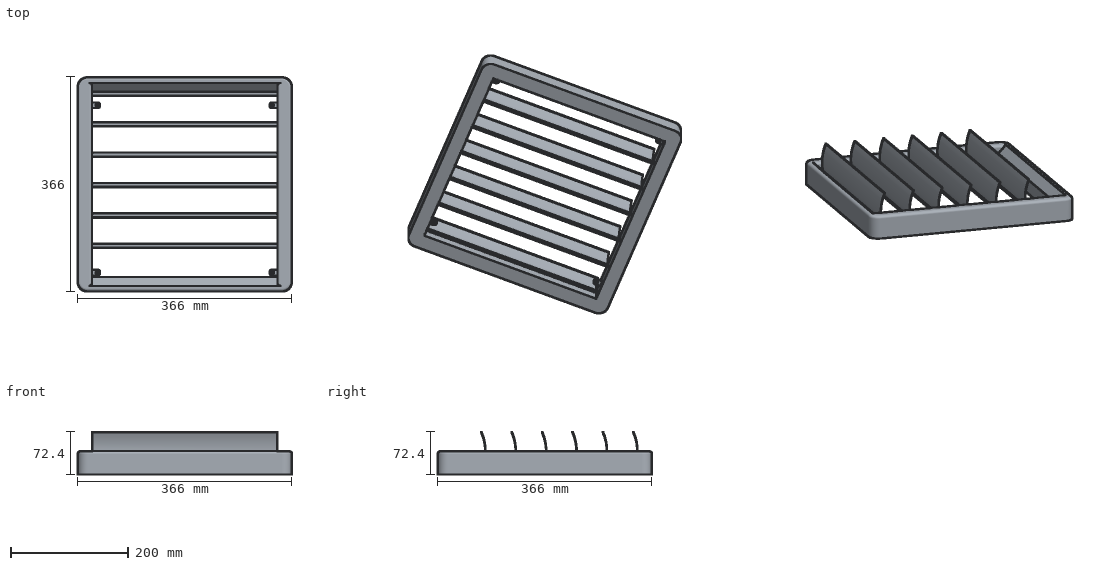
import cadquery as cq
import math

FRAME_SIZE = 366.0
FRAME_HEIGHT = 40.0
CORNER_RADIUS = 17.0
RIM_FILLET = 5.0
WALL = 25.0
BEVEL = 15.0

TOTAL_HEIGHT = 72.4
BLADE_COUNT = 6
BLADE_PITCH = 51.9
FIRST_BLADE_Y = 158.6
BLADE_FOOT_Z = 22.0
BLADE_CREST_Z = 40.0
BLADE_THICKNESS = 1.0
BLADE_RADIUS = 80.0
BEAD_DIAMETER = 4.0

LUG_REACH = 13.5
LUG_WIDTH = 10.0
LUG_TOP_Z = 17.5
LUG_THICKNESS = 3.0
LUG_HOLE_DIAMETER = 4.5
LUG_ROWS_Y = (135.0, -150.5)

OPENING = FRAME_SIZE - 2 * WALL


def make_frame():
    """Rounded square frame with bevelled Y walls and rounded inner edges on the X walls."""
    body = (
        cq.Workplane("XY")
        .rect(FRAME_SIZE, FRAME_SIZE)
        .extrude(FRAME_HEIGHT)
        .edges("|Z")
        .fillet(CORNER_RADIUS)
        .faces(">Z")
        .edges()
        .fillet(RIM_FILLET)
    )
    half = OPENING / 2
    opening = (
        cq.Workplane("YZ")
        .polyline([
            (-half, 0),
            (half, 0),
            (half, FRAME_HEIGHT - BEVEL),
            (half + BEVEL, FRAME_HEIGHT),
            (-half - BEVEL, FRAME_HEIGHT),
            (-half, FRAME_HEIGHT - BEVEL),
        ])
        .close()
        .extrude(half + RIM_FILLET, both=True)
    )
    flared_section = (
        cq.Workplane("XZ")
        .moveTo(-half, 0)
        .lineTo(half, 0)
        .lineTo(half, FRAME_HEIGHT - RIM_FILLET)
        .radiusArc((half + RIM_FILLET, FRAME_HEIGHT), RIM_FILLET)
        .lineTo(-half - RIM_FILLET, FRAME_HEIGHT)
        .radiusArc((-half, FRAME_HEIGHT - RIM_FILLET), RIM_FILLET)
        .close()
        .extrude(FRAME_SIZE / 2, both=True)
    )
    return body.cut(opening.intersect(flared_section))


def make_blade(crest_y):
    """Arc-shaped vane spanning the opening, with its hollow side towards -Y and a bead at its foot."""
    axis_y = crest_y - BLADE_RADIUS
    inner_radius = BLADE_RADIUS - BLADE_THICKNESS

    def arc_y(radius, z):
        return axis_y + math.sqrt(radius**2 - (z - BLADE_CREST_Z)**2)

    vane = (
        cq.Workplane("YZ")
        .moveTo(arc_y(BLADE_RADIUS, BLADE_FOOT_Z), BLADE_FOOT_Z)
        .threePointArc((crest_y, BLADE_CREST_Z), (arc_y(BLADE_RADIUS, TOTAL_HEIGHT), TOTAL_HEIGHT))
        .lineTo(arc_y(inner_radius, TOTAL_HEIGHT), TOTAL_HEIGHT)
        .threePointArc(
            (axis_y + inner_radius, BLADE_CREST_Z),
            (arc_y(inner_radius, BLADE_FOOT_Z), BLADE_FOOT_Z),
        )
        .close()
        .extrude(OPENING / 2, both=True)
    )
    bead_y = arc_y(BLADE_RADIUS, BLADE_FOOT_Z) - BEAD_DIAMETER / 2
    bead = (
        cq.Workplane("YZ")
        .center(bead_y, BLADE_FOOT_Z)
        .circle(BEAD_DIAMETER / 2)
        .extrude(OPENING / 2, both=True)
    )
    return vane.union(bead)


def make_lug(side, y):
    """Round-ended screw lug on one X wall; side is -1 or +1."""
    end_radius = LUG_WIDTH / 2
    hole_x = side * (OPENING / 2 - LUG_REACH + end_radius)
    root_x = side * OPENING / 2
    bar = (
        cq.Workplane("XY")
        .center((hole_x + root_x) / 2, y)
        .rect(abs(root_x - hole_x), LUG_WIDTH)
        .extrude(LUG_THICKNESS)
    )
    tip = cq.Workplane("XY").center(hole_x, y).circle(end_radius).extrude(LUG_THICKNESS)
    hole = cq.Workplane("XY").center(hole_x, y).circle(LUG_HOLE_DIAMETER / 2).extrude(LUG_THICKNESS)
    return bar.union(tip).cut(hole).translate((0, 0, LUG_TOP_Z - LUG_THICKNESS))


result = make_frame()
for index in range(BLADE_COUNT):
    result = result.union(make_blade(FIRST_BLADE_Y - index * BLADE_PITCH))
for lug_y in LUG_ROWS_Y:
    for wall_side in (-1, 1):
        result = result.union(make_lug(wall_side, lug_y))